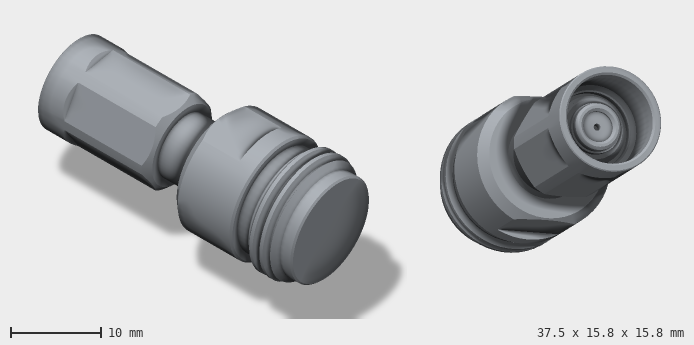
import cadquery as cq
import math

TOTAL_LENGTH = 37.54

SLEEVE_RADIUS = 6.0
SLEEVE_LENGTH = 15.95
SLEEVE_BACK_CHAMFER = 0.85
RIM_OUTER_CHAMFER = 0.12
HEX_ACROSS_FLATS = 11.0
HEX_START = 3.4
HEX_SIDES = 6

NECK_RADIUS = 4.15
NECK_CONE_START = 20.4
NECK_CONE_RADIUS = 4.6

BODY_START = 20.9
BODY_END = 29.68
BODY_RADIUS = 7.875
BODY_FRONT_CHAMFER = 1.05
BODY_BACK_CHAMFER = 0.25
WRENCH_ACROSS_FLATS = 14.0
WRENCH_FLAT_END = 27.3

JACK_RADIUS = 6.76
JACK_END_CHAMFER = 0.22
THREAD_START = 31.22
THREAD_ROOT_RADIUS = 7.2
THREAD_CREST_WIDTH = 0.46
THREAD_PITCH = 1.47
FIRST_FLANK_START = 31.92
FULL_RINGS = 2
LAST_RING_RADIUS = 7.55
THREAD_FLANK_TANGENT = math.tan(math.radians(30))

BORE_RADIUS = 5.05
MOUTH_CHAMFER = 0.23
BORE_DEPTH = 5.65
CAVITY_SHOULDER_RADIUS = 4.58
CAVITY_SHOULDER_DEPTH = BORE_DEPTH + BORE_RADIUS - CAVITY_SHOULDER_RADIUS
GROOVE_OUTER_RADIUS = 4.37
GROOVE_INNER_RADIUS = 3.95
GROOVE_DEPTH = 7.0
INNER_BODY_STEP_RADIUS = 3.63
INNER_BODY_FACE_RADIUS = 3.4
INNER_BODY_FACE = 5.6
INNER_BODY_STEP_LENGTH = 0.1

TUBE_TIP = 3.85
TUBE_RADIUS = 2.65
TUBE_TIP_CHAMFER = 0.3
TUBE_COLLAR_RADIUS = 2.87
TUBE_COLLAR_START = 5.0
TUBE_BORE_RADIUS = 1.75
TUBE_BORE_CHAMFER = 0.3
TUBE_BORE_DEPTH = 0.6
CONTACT_HOLE_RADIUS = 0.4
CONTACT_HOLE_DEPTH = 1.0


def revolve_about_x(points):
    """Revolve a closed outline of (X, radius) points about the X axis."""
    return cq.Workplane("XZ").polyline(points).close().revolve(360, (0, 0, 0), (1, 0, 0))


def make_sleeve():
    outline = [
        (0, 0),
        (0, SLEEVE_RADIUS - RIM_OUTER_CHAMFER),
        (RIM_OUTER_CHAMFER, SLEEVE_RADIUS),
        (SLEEVE_LENGTH - SLEEVE_BACK_CHAMFER, SLEEVE_RADIUS),
        (SLEEVE_LENGTH, SLEEVE_RADIUS - SLEEVE_BACK_CHAMFER),
        (SLEEVE_LENGTH, 0),
    ]
    sleeve = revolve_about_x(outline)
    flat_height = HEX_ACROSS_FLATS / 2
    cut_top = 2 * SLEEVE_RADIUS
    flat_cutter = (
        cq.Workplane("XZ")
        .polyline([
            (HEX_START + SLEEVE_RADIUS - flat_height, flat_height),
            (SLEEVE_LENGTH, flat_height),
            (SLEEVE_LENGTH, cut_top),
            (HEX_START + SLEEVE_RADIUS - cut_top, cut_top),
        ])
        .close()
        .extrude(SLEEVE_RADIUS, both=True)
    )
    for side in range(HEX_SIDES):
        sleeve = sleeve.cut(flat_cutter.rotate((0, 0, 0), (1, 0, 0), side * 360 / HEX_SIDES))
    return sleeve


def make_neck_and_body():
    outline = [
        (SLEEVE_LENGTH, 0),
        (SLEEVE_LENGTH, NECK_RADIUS),
        (NECK_CONE_START, NECK_RADIUS),
        (BODY_START, NECK_CONE_RADIUS),
        (BODY_START, BODY_RADIUS - BODY_FRONT_CHAMFER),
        (BODY_START + BODY_FRONT_CHAMFER, BODY_RADIUS),
        (BODY_END - BODY_BACK_CHAMFER, BODY_RADIUS),
        (BODY_END, BODY_RADIUS - BODY_BACK_CHAMFER),
        (BODY_END, 0),
    ]
    body = revolve_about_x(outline)
    flat_length = WRENCH_FLAT_END - BODY_START
    flat_cutter = cq.Workplane("XY").box(
        flat_length, 2 * BODY_RADIUS, BODY_RADIUS, centered=(False, True, False)
    )
    flat_cutter = flat_cutter.translate((BODY_START, 0, WRENCH_ACROSS_FLATS / 2))
    return body.cut(flat_cutter).cut(flat_cutter.mirror("XY"))


def make_threaded_jack():
    outline = [
        (BODY_END, 0),
        (BODY_END, JACK_RADIUS),
        (THREAD_START, JACK_RADIUS),
        (THREAD_START + THREAD_ROOT_RADIUS - JACK_RADIUS, THREAD_ROOT_RADIUS),
    ]
    flank = (BODY_RADIUS - THREAD_ROOT_RADIUS) * THREAD_FLANK_TANGENT
    for ring in range(FULL_RINGS):
        flank_start = FIRST_FLANK_START + ring * THREAD_PITCH
        crest_start = flank_start + flank
        crest_end = crest_start + THREAD_CREST_WIDTH
        outline += [
            (flank_start, THREAD_ROOT_RADIUS),
            (crest_start, BODY_RADIUS),
            (crest_end, BODY_RADIUS),
            (crest_end + flank, THREAD_ROOT_RADIUS),
        ]
    last_flank_start = FIRST_FLANK_START + FULL_RINGS * THREAD_PITCH
    last_peak = last_flank_start + (LAST_RING_RADIUS - THREAD_ROOT_RADIUS) * THREAD_FLANK_TANGENT
    outline += [
        (last_flank_start, THREAD_ROOT_RADIUS),
        (last_peak, LAST_RING_RADIUS),
        (last_peak + LAST_RING_RADIUS - JACK_RADIUS, JACK_RADIUS),
        (TOTAL_LENGTH - JACK_END_CHAMFER, JACK_RADIUS),
        (TOTAL_LENGTH, JACK_RADIUS - JACK_END_CHAMFER),
        (TOTAL_LENGTH, 0),
    ]
    return revolve_about_x(outline)


def make_cavity():
    tube_floor = TUBE_TIP + TUBE_BORE_DEPTH
    hole_floor = tube_floor + CONTACT_HOLE_DEPTH
    step_start = INNER_BODY_FACE + INNER_BODY_STEP_RADIUS - INNER_BODY_FACE_RADIUS
    step_end = step_start + INNER_BODY_STEP_LENGTH
    outline = [
        (0, 0),
        (0, BORE_RADIUS + MOUTH_CHAMFER),
        (MOUTH_CHAMFER, BORE_RADIUS),
        (BORE_DEPTH, BORE_RADIUS),
        (CAVITY_SHOULDER_DEPTH, CAVITY_SHOULDER_RADIUS),
        (CAVITY_SHOULDER_DEPTH, GROOVE_OUTER_RADIUS),
        (GROOVE_DEPTH, GROOVE_OUTER_RADIUS),
        (GROOVE_DEPTH, GROOVE_INNER_RADIUS),
        (step_end + GROOVE_INNER_RADIUS - INNER_BODY_STEP_RADIUS, GROOVE_INNER_RADIUS),
        (step_end, INNER_BODY_STEP_RADIUS),
        (step_start, INNER_BODY_STEP_RADIUS),
        (INNER_BODY_FACE, INNER_BODY_FACE_RADIUS),
        (INNER_BODY_FACE, TUBE_COLLAR_RADIUS),
        (TUBE_COLLAR_START, TUBE_COLLAR_RADIUS),
        (TUBE_COLLAR_START, TUBE_RADIUS),
        (TUBE_TIP + TUBE_TIP_CHAMFER, TUBE_RADIUS),
        (TUBE_TIP, TUBE_RADIUS - TUBE_TIP_CHAMFER),
        (TUBE_TIP, TUBE_BORE_RADIUS + TUBE_BORE_CHAMFER),
        (TUBE_TIP + TUBE_BORE_CHAMFER, TUBE_BORE_RADIUS),
        (tube_floor, TUBE_BORE_RADIUS),
        (tube_floor, CONTACT_HOLE_RADIUS),
        (hole_floor, CONTACT_HOLE_RADIUS),
        (hole_floor, 0),
    ]
    return revolve_about_x(outline)


adapter = make_sleeve().union(make_neck_and_body()).union(make_threaded_jack())
result = adapter.cut(make_cavity())